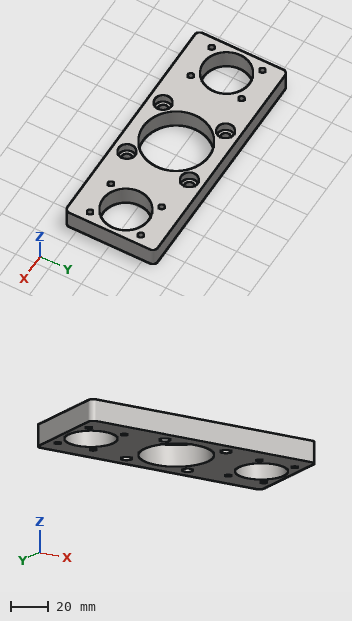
import cadquery as cq

length = 140.0
width = 55.0
thickness = 12.0
corner_radius = 3.0

center_bore_diameter = 40.0
side_bore_diameter = 28.0
side_bore_offset = 53.0

bolt_spacing = 38.1
bolt_hole_diameter = 5.7
counterbore_diameter = 10.0
counterbore_depth = 5.5

small_hole_diameter = 3.4
small_spacing_x = 22.0
small_spacing_y = 31.0


def make_plate():
    """Plate with rounded vertical corners, standing on Z = 0."""
    plate = cq.Workplane("XY").box(length, width, thickness, centered=(True, True, False))
    return plate.edges("|Z").fillet(corner_radius)


def cut_center_group(plate):
    """Center bore and its four counterbored holes."""
    plate = plate.faces(">Z").workplane(origin=(0, 0, thickness)).hole(center_bore_diameter)
    return (
        plate.faces(">Z")
        .workplane(origin=(0, 0, thickness))
        .rect(bolt_spacing, bolt_spacing, forConstruction=True)
        .vertices()
        .cboreHole(bolt_hole_diameter, counterbore_diameter, counterbore_depth)
    )


def cut_side_group(plate, center_x):
    """Side bore and its four small through holes, centered at center_x."""
    group_center = (center_x, 0, thickness)
    plate = plate.faces(">Z").workplane(origin=group_center).hole(side_bore_diameter)
    return (
        plate.faces(">Z")
        .workplane(origin=group_center)
        .rect(small_spacing_x, small_spacing_y, forConstruction=True)
        .vertices()
        .hole(small_hole_diameter)
    )


result = cut_center_group(make_plate())
for side in (-1, 1):
    result = cut_side_group(result, side * side_bore_offset)